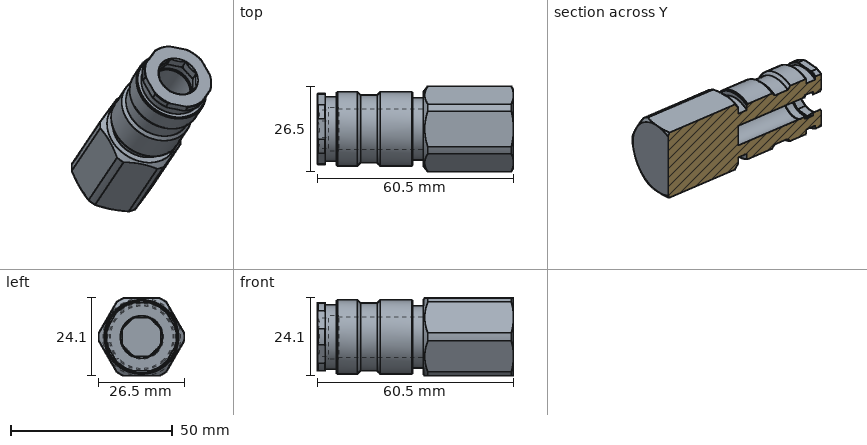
import cadquery as cq
import math

length = 60.5
collar_end = 2.5
sleeve_start = 5.85
groove_start = 13.3
groove_end = 18.4
sleeve_end = 29.4
hex_start = 32.7

front_neck_diameter = 20.0
sleeve_diameter = 23.0
groove_diameter = 21.0
rear_neck_diameter = 19.3
sleeve_edge_chamfer = 0.35
groove_taper = 1.0

collar_flats = 21.0
collar_diameter = 21.95
collar_edge_chamfer = 0.2

hex_flats = 24.1
hex_diameter = 26.5
hex_front_diameter = 23.0
hex_front_chamfer_length = 1.4
hex_rear_diameter = 24.1
hex_rear_chamfer_length = 0.65

mouth_flats = 12.0
mouth_depth = 3.3
mouth_chamfer_diameter = 13.05
chamber_diameter = 13.5
chamber_end = 6.35
bore_diameter = 12.6
bore_lip_chamfer = 0.2
bore_end = hex_start


def revolve_profile(points):
    """Revolve (x, radius) points, closed along the X axis, about that axis."""
    first_x = points[0][0]
    last_x = points[-1][0]
    outline = [(first_x, 0)] + points + [(last_x, 0)]
    return cq.Workplane("XY").polyline(outline).close().revolve(360, (0, 0, 0), (1, 0, 0))


def prism(sides, across_flats, start, end):
    """Regular prism along X with flats facing +Z and -Z."""
    corner_radius = across_flats / 2 / math.cos(math.pi / sides)
    half_step = math.pi / sides
    corners = []
    for i in range(sides):
        angle = math.pi / 2 + half_step * (2 * i + 1)
        corners.append((corner_radius * math.cos(angle), corner_radius * math.sin(angle)))
    return cq.Workplane("YZ", origin=(start, 0, 0)).polyline(corners).close().extrude(end - start)


def make_turned_body():
    front_neck = front_neck_diameter / 2
    sleeve = sleeve_diameter / 2
    sleeve_edge = sleeve - sleeve_edge_chamfer
    groove = groove_diameter / 2
    rear_neck = rear_neck_diameter / 2
    return revolve_profile([
        (0, front_neck),
        (sleeve_start, front_neck),
        (sleeve_start, sleeve_edge),
        (sleeve_start + sleeve_edge_chamfer, sleeve),
        (groove_start - groove_taper, sleeve),
        (groove_start, groove),
        (groove_end, groove),
        (groove_end + groove_taper, sleeve),
        (sleeve_end - sleeve_edge_chamfer, sleeve),
        (sleeve_end, sleeve_edge),
        (sleeve_end, rear_neck),
        (hex_start, rear_neck),
    ])


def make_collar():
    radius = collar_diameter / 2
    edge_radius = radius - collar_edge_chamfer
    envelope = revolve_profile([
        (0, edge_radius),
        (collar_edge_chamfer, radius),
        (collar_end - collar_edge_chamfer, radius),
        (collar_end, edge_radius),
    ])
    return prism(6, collar_flats, 0, collar_end).intersect(envelope)


def make_rear_hexagon():
    radius = hex_diameter / 2
    envelope = revolve_profile([
        (hex_start, hex_front_diameter / 2),
        (hex_start + hex_front_chamfer_length, radius),
        (length - hex_rear_chamfer_length, radius),
        (length, hex_rear_diameter / 2),
    ])
    return prism(6, hex_flats, hex_start, length).intersect(envelope)


def make_bore():
    bore = bore_diameter / 2
    chamber = chamber_diameter / 2
    cavity = revolve_profile([
        (mouth_depth, chamber),
        (chamber_end, chamber),
        (chamber_end, bore + bore_lip_chamfer),
        (chamber_end + bore_lip_chamfer, bore),
        (bore_end, bore),
    ])
    entry_cone = revolve_profile([
        (0, mouth_chamfer_diameter / 2),
        ((mouth_chamfer_diameter - mouth_flats) / 2, mouth_flats / 2),
    ])
    return prism(8, mouth_flats, 0, mouth_depth).union(entry_cone).union(cavity)


outside = make_turned_body().union(make_collar()).union(make_rear_hexagon())
result = outside.cut(make_bore())